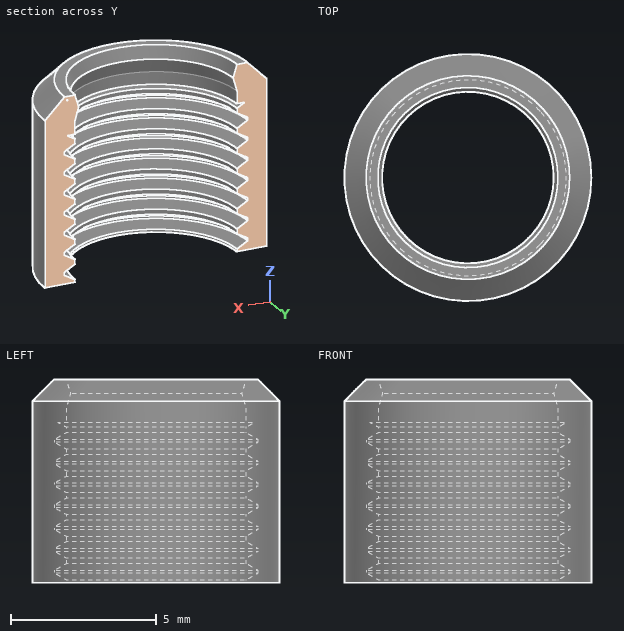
import cadquery as cq
import math

outer_radius = 8.5 / 2
height = 7.0
top_chamfer = 0.75

bore_radius = 6.19 / 2
lip_radius = 5.89 / 2
lip_entry_height = 0.48
lip_return_height = 0.52
lip_crest_z = height - lip_entry_height
lip_bottom_z = lip_crest_z - lip_return_height

pitch = 0.75
crest_width = pitch / 4
root_width = pitch / 8
flank_slope = math.tan(math.radians(30))
groove_mouth = pitch - crest_width
flank_height = (groove_mouth - root_width) / 2
root_radius = bore_radius + flank_height / flank_slope
groove_count = 7

plain_band_height = 0.48
cut_off_groove_height = 0.16
cut_off_groove_radius = bore_radius + cut_off_groove_height / flank_slope
plain_band_bottom_z = lip_bottom_z - plain_band_height
first_crest_top_z = plain_band_bottom_z - cut_off_groove_height
first_groove_top_z = first_crest_top_z - crest_width


def revolve_profile(points):
    """Revolve an (r, z) outline around the Z axis."""
    return cq.Workplane("XZ").polyline(points).close().revolve(360, (0, 0, 0), (0, 1, 0))


def make_body():
    """Solid cylinder with a chamfered top rim."""
    cylinder = cq.Workplane("XY").circle(outer_radius).extrude(height)
    return cylinder.faces(">Z").chamfer(top_chamfer)


def make_bore():
    """Through bore with the snap lip, the plain band and the cut-off groove beneath it."""
    return revolve_profile([
        (0, 0),
        (bore_radius, 0),
        (bore_radius, first_crest_top_z),
        (cut_off_groove_radius, plain_band_bottom_z),
        (bore_radius, plain_band_bottom_z),
        (bore_radius, lip_bottom_z),
        (lip_radius, lip_crest_z),
        (bore_radius, height),
        (0, height),
    ])


def make_groove(top_z):
    """Disc whose rim forms one ring groove, its mouth running down from top_z."""
    bottom_z = top_z - groove_mouth
    return revolve_profile([
        (0, bottom_z),
        (bore_radius, bottom_z),
        (root_radius, bottom_z + flank_height),
        (root_radius, top_z - flank_height),
        (bore_radius, top_z),
        (0, top_z),
    ])


result = make_body().cut(make_bore())
for index in range(groove_count):
    result = result.cut(make_groove(first_groove_top_z - index * pitch))